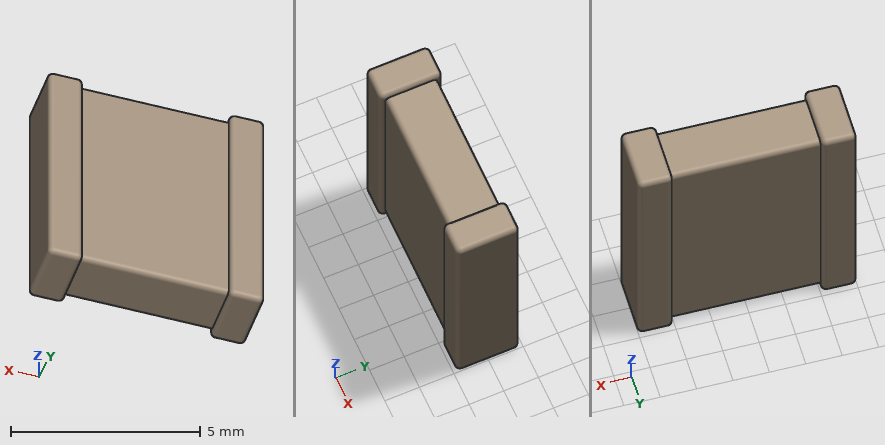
import cadquery as cq

length = 6.0
depth = 1.8
height = 6.8

cap_length = 0.95
edge_radius = 0.15

body_setback = edge_radius
body_length = length - 2 * cap_length
body_depth = depth - 2 * body_setback
body_height = height - 2 * body_setback

cap_offset = (length - cap_length) / 2


def make_body():
    """Ceramic block with its four long edges rounded."""
    block = cq.Workplane("XY").box(body_length, body_depth, body_height)
    return block.edges("|X").fillet(edge_radius)


def make_cap(side):
    """Terminal cap with every edge rounded; side is -1 or +1 along X."""
    block = cq.Workplane("XY").box(cap_length, depth, height)
    return block.edges().fillet(edge_radius).translate((side * cap_offset, 0, 0))


body = make_body()
caps = [make_cap(side) for side in (-1, 1)]

result = cq.Compound.makeCompound([body.val(), *[cap.val() for cap in caps]])